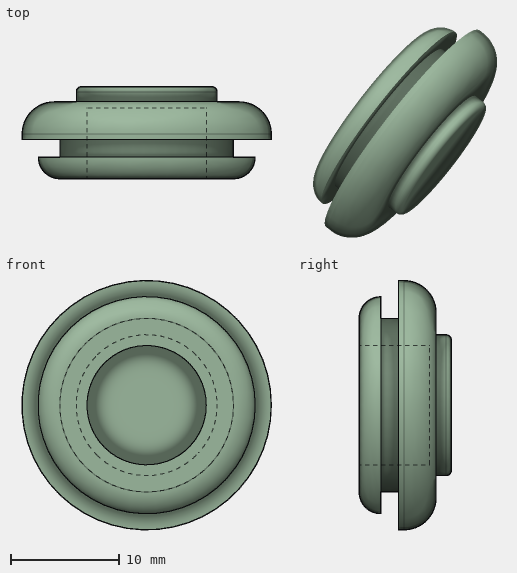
import cadquery as cq

outer_diameter = 23.0
lip_diameter = 20.0
neck_diameter = 16.0
cap_diameter = 13.0
bore_diameter = 11.0

total_length = 8.5
lip_length = 2.0
neck_length = 1.6
flange_length = 3.5
cap_length = total_length - lip_length - neck_length - flange_length

flange_rim_length = 0.5
flange_round = flange_length - flange_rim_length
lip_round = lip_length
cap_round = 0.5
floor_thickness = 2.0

front_y = -total_length / 2
neck_y = front_y + lip_length
flange_y = neck_y + neck_length
cap_y = flange_y + flange_length


def disc(start_y, length, diameter):
    """Solid disc that starts at start_y and extends toward +Y."""
    plane = cq.Plane(origin=(0, start_y, 0), xDir=(1, 0, 0), normal=(0, 1, 0))
    return cq.Workplane(plane).circle(diameter / 2).extrude(length)


def lip():
    """Front lip, with a quarter-round over its whole length."""
    radius = lip_diameter / 2
    return (
        cq.Workplane("XY")
        .moveTo(0, front_y)
        .lineTo(radius - lip_round, front_y)
        .radiusArc((radius, neck_y), -lip_round)
        .lineTo(0, neck_y)
        .close()
        .revolve(360, (0, 0, 0), (0, 1, 0))
    )


neck = disc(neck_y, neck_length, neck_diameter)
flange = disc(flange_y, flange_length, outer_diameter).faces(">Y").edges().fillet(flange_round)
cap = disc(cap_y, cap_length, cap_diameter).faces(">Y").edges().fillet(cap_round)
bore = disc(front_y, total_length - floor_thickness, bore_diameter)

result = lip().union(neck).union(flange).union(cap).cut(bore)